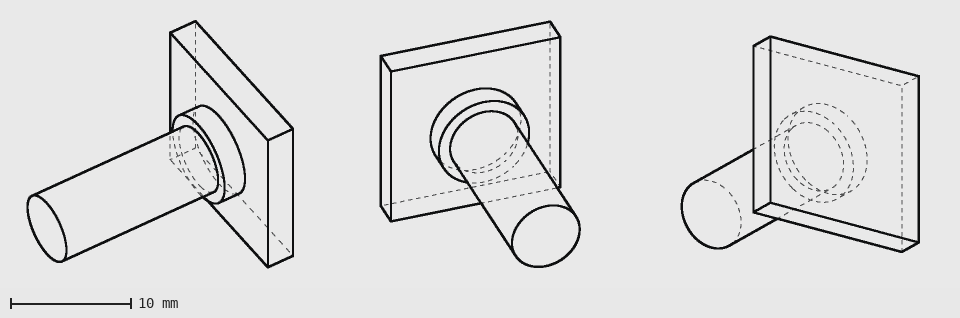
import cadquery as cq

total_length = 19.5
plate_side = 15.0
plate_thickness = 2.5
collar_diameter = 8.0
collar_length = 2.0
pin_diameter = 6.0

back_y = total_length / 2
plate_front_y = back_y - plate_thickness
collar_front_y = plate_front_y - collar_length
pin_tip_y = -total_length / 2


def cylinder_along_y(diameter, start_y, end_y):
    """Solid cylinder on the Y axis from start_y up to end_y."""
    return (
        cq.Workplane("XZ", origin=(0, start_y, 0))
        .circle(diameter / 2)
        .extrude(start_y - end_y)
    )


plate = (
    cq.Workplane("XZ", origin=(0, back_y, 0))
    .rect(plate_side, plate_side)
    .extrude(plate_thickness)
)

collar = cylinder_along_y(collar_diameter, collar_front_y, plate_front_y)
pin = cylinder_along_y(pin_diameter, pin_tip_y, collar_front_y)

result = plate.union(collar).union(pin)